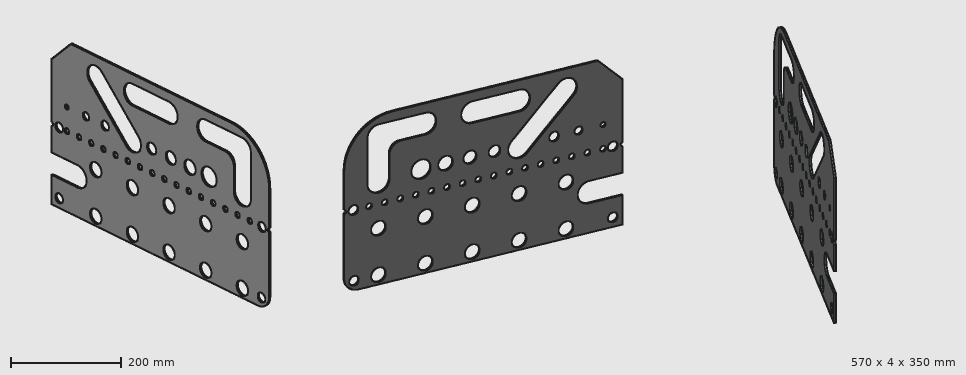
import cadquery as cq
import math

width = 570.0
height = 350.0
thickness = 4.0
corner_chamfer = 50.0
top_corner_radius = 100.0
bottom_corner_radius = 28.5

column_count = 5
column_first_x = 115.5
column_span = 384.0
column_pitch = column_span / (column_count - 1)
column_x = [column_first_x + i * column_pitch for i in range(column_count)]
large_hole_diameter = 30.0

bottom_row_z = 20.0
gauge_step = 50.0
middle_row_z = bottom_row_z + column_pitch
pin_row_z = middle_row_z + gauge_step
gauge_row_z = 216.0

pin_count = 16
pin_first_x = 40.0
pin_span = 479.5
pin_pitch = pin_span / (pin_count - 1)
pin_diameter = 12.0

mount_diameter = 20.0
mount_left_x = 20.0
mount_pin_row_right_x = pin_first_x + pin_span + pin_pitch
mount_bottom_right_x = width - mount_left_x

gauge_left_diameters = [10.0, 16.5, 20.0]
gauge_right_diameters = [24.0, 27.0, 30.0, 40.0]
gauge_right_first_x = 262.0

slot_width = 45.0
slot_radius = slot_width / 2
slot_upper_z = 308.0
slot_lower_z = slot_upper_z - column_pitch
open_slot_z = 84.0
open_slot_width = 46.0
open_slot_depth = 92.0

notch_depth = 4.5
notch_half_height = 5.0


def plate_blank():
    """Plate outline with one chamfered corner, two rounded corners and the edge notches."""
    diagonal = math.sqrt(0.5)
    top_center = (width - top_corner_radius, height - top_corner_radius)
    bottom_center = (width - bottom_corner_radius, bottom_corner_radius)
    top_mid = (top_center[0] + top_corner_radius * diagonal, top_center[1] + top_corner_radius * diagonal)
    bottom_mid = (
        bottom_center[0] + bottom_corner_radius * diagonal,
        bottom_center[1] - bottom_corner_radius * diagonal,
    )
    return (
        cq.Workplane("XZ")
        .lineTo(bottom_center[0], 0)
        .threePointArc(bottom_mid, (width, bottom_center[1]))
        .lineTo(width, pin_row_z - notch_half_height)
        .lineTo(width - notch_depth, pin_row_z)
        .lineTo(width, pin_row_z + notch_half_height)
        .lineTo(width, top_center[1])
        .threePointArc(top_mid, (top_center[0], height))
        .lineTo(corner_chamfer, height)
        .lineTo(0, height - corner_chamfer)
        .lineTo(0, pin_row_z + notch_half_height)
        .lineTo(notch_depth, pin_row_z)
        .lineTo(0, pin_row_z - notch_half_height)
        .close()
        .extrude(-thickness)
    )


def hole_cutter(points, diameter):
    """Through cylinders at the given (x, z) points."""
    return cq.Workplane("XZ").pushPoints(points).circle(diameter / 2).extrude(-thickness)


def slot_cutter(start, end, breadth=slot_width):
    """Through slot whose round ends are centred on the two (x, z) points."""
    run = end[0] - start[0]
    rise = end[1] - start[1]
    middle = ((start[0] + end[0]) / 2, (start[1] + end[1]) / 2)
    return (
        cq.Workplane("XZ")
        .center(*middle)
        .slot2D(math.hypot(run, rise) + breadth, breadth, math.degrees(math.atan2(rise, run)))
        .extrude(-thickness)
    )


def elbow_cutter():
    """L-shaped slot: two slots that meet at the last column, with a rounded inner corner."""
    corner = (column_x[4], slot_upper_z)
    inner_x = corner[0] - slot_radius
    inner_z = corner[1] - slot_radius
    arc_offset = slot_radius * (1 - math.sqrt(0.5))
    inner_fillet = (
        cq.Workplane("XZ")
        .moveTo(inner_x, inner_z)
        .lineTo(inner_x - slot_radius, inner_z)
        .threePointArc((inner_x - arc_offset, inner_z - arc_offset), (inner_x, inner_z - slot_radius))
        .close()
        .extrude(-thickness)
    )
    across = slot_cutter((column_x[3], slot_upper_z), corner)
    down = slot_cutter(corner, (column_x[4], slot_lower_z))
    return across.union(down).union(inner_fillet)


result = plate_blank()

for row_z in (bottom_row_z, middle_row_z):
    result = result.cut(hole_cutter([(x, row_z) for x in column_x], large_hole_diameter))

pin_points = [(pin_first_x + i * pin_pitch, pin_row_z) for i in range(pin_count)]
result = result.cut(hole_cutter(pin_points, pin_diameter))

mount_points = [
    (mount_left_x, bottom_row_z),
    (mount_bottom_right_x, bottom_row_z),
    (mount_left_x, pin_row_z),
    (mount_pin_row_right_x, pin_row_z),
]
result = result.cut(hole_cutter(mount_points, mount_diameter))

gauge_groups = [(pin_first_x, gauge_left_diameters), (gauge_right_first_x, gauge_right_diameters)]
for first_x, diameters in gauge_groups:
    for i, diameter in enumerate(diameters):
        result = result.cut(hole_cutter([(first_x + i * gauge_step, gauge_row_z)], diameter))

result = result.cut(slot_cutter((column_x[0], slot_upper_z), (column_x[1], slot_lower_z)))
result = result.cut(slot_cutter((column_x[1], slot_upper_z), (column_x[2], slot_upper_z)))
result = result.cut(elbow_cutter())
open_slot_end = (open_slot_depth - open_slot_width / 2, open_slot_z)
result = result.cut(slot_cutter((0, open_slot_z), open_slot_end, open_slot_width))